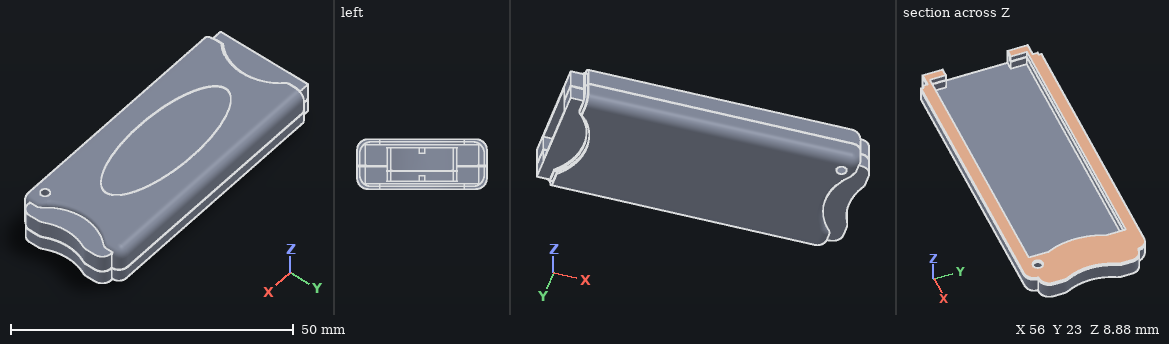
import cadquery as cq
import math


total_length = 56.0
body_width = 23.0
body_top = 4.8
body_bottom = -4.08

ring_start = 2.4
ring_length = 0.5
ring_inset = 0.5
body_start = ring_start + ring_length
body_end = 53.8
edge_radius = 2.0

core_inset = 1.0
core_top = body_top - core_inset
core_bottom = body_bottom + core_inset
neck_width = 20.1
tail_width = 19.0
tail_corner_radius = 2.0
tail_notch_radius = 10.34
tail_notch_depth = 1.3
tail_blend_radius = 2.0
core_joint = total_length / 2

scoop_radius = 10.34
front_scoop_apex = 5.6
rear_scoop_apex = 50.35
rear_scoop_x = rear_scoop_apex + scoop_radius
rear_rim_radius = core_inset

label_x = 27.3
label_length = 33.0
label_width = 12.0
label_depth = 0.2
lanyard_x = 50.7
lanyard_y = -8.35
lanyard_diameter = 1.8

ceiling_thickness = 0.5
floor_thickness = 0.4
cavity_top = core_top - ceiling_thickness
cavity_bottom = core_bottom + floor_thickness
opening_width = 12.3
jamb_depth = 1.6
cavity_width = 18.4
end_wall_thickness = 3.0
end_wall_radius = scoop_radius + end_wall_thickness
end_wall_half_width = 5.5
end_wall_flat_x = rear_scoop_x - math.sqrt(end_wall_radius**2 - end_wall_half_width**2)
nub_diameter = 1.0
nub_height = 1.0

seam_gap = 0.16
tongue_thickness = 0.6
tongue_depth = 0.85


def block(x_start, x_end, width, bottom, top):
    """Box centred on Y = 0."""
    return (
        cq.Workplane("XY")
        .box(x_end - x_start, width, top - bottom, centered=(False, True, False))
        .translate((x_start, 0, bottom))
    )


def disc(x, radius, bottom, top):
    """Vertical cylinder centred on Y = 0."""
    return cq.Workplane("XY").center(x, 0).circle(radius).extrude(top - bottom).translate((0, 0, bottom))


def front_scoop(apex):
    """Cutters above and below the core that reach back to the given apex."""
    upper = disc(apex - scoop_radius, scoop_radius, core_top, body_top)
    lower = disc(apex - scoop_radius, scoop_radius, body_bottom, core_bottom)
    return upper.union(lower)


def make_body():
    """Rounded main body with its stepped front ring and thumb scoops.

    The rear scoop passes right through here; the core fills its middle again.
    """
    main = block(body_start, body_end, body_width, body_bottom, body_top)
    main = main.edges("|X").fillet(edge_radius)
    main = main.faces(">X").edges().fillet(edge_radius)
    main = main.cut(disc(rear_scoop_x, scoop_radius, body_bottom, body_top))
    main = main.faces(">Z or <Z").edges("%CIRCLE").fillet(rear_rim_radius)
    main = main.cut(front_scoop(front_scoop_apex + ring_length))

    ring_top = body_top - ring_inset
    ring_bottom = body_bottom + ring_inset
    ring_width = body_width - 2 * ring_inset
    ring_end = front_scoop_apex + 2 * ring_length
    ring = block(ring_start, ring_end, ring_width, ring_bottom, ring_top)
    ring = ring.edges("|X").fillet(edge_radius)
    ring = ring.cut(front_scoop(front_scoop_apex))

    return main.union(ring)


def make_core():
    """Neck and tail, the tail with rounded corners and a blended notch in its end."""
    neck = block(0, core_joint, neck_width, core_bottom, core_top)
    tail = block(core_joint, total_length, tail_width, core_bottom, core_top)
    tail = tail.edges("|Z and >X").fillet(tail_corner_radius)
    notch_x = total_length - tail_notch_depth + tail_notch_radius
    tail = tail.cut(disc(notch_x, tail_notch_radius, core_bottom, core_top))
    tail = tail.edges("|Z and >X").fillet(tail_blend_radius)
    return neck.union(tail)


def make_cavity():
    """Connector opening and the wider space behind it, with an end wall that bulges forwards."""
    opening = block(0, jamb_depth, opening_width, cavity_bottom, cavity_top)
    space = block(jamb_depth, end_wall_flat_x, cavity_width, cavity_bottom, cavity_top)
    space = space.cut(disc(rear_scoop_x, end_wall_radius, cavity_bottom, cavity_top))
    nub_x = rear_scoop_x - end_wall_radius
    for bottom in (cavity_bottom, cavity_top - nub_height):
        space = space.cut(disc(nub_x, nub_diameter / 2, bottom, bottom + nub_height))
    return opening.union(space)


def make_housing():
    """Whole housing before it is split at the seam."""
    label = (
        cq.Workplane("XY", origin=(label_x, 0, body_top - label_depth))
        .ellipse(label_length / 2, label_width / 2)
        .extrude(label_depth)
    )
    lanyard_hole = (
        cq.Workplane("XY", origin=(lanyard_x, lanyard_y, body_bottom))
        .circle(lanyard_diameter / 2)
        .extrude(body_top - body_bottom)
    )
    housing = make_body().union(make_core())
    return housing.cut(make_cavity()).cut(label).cut(lanyard_hole)


def upper_region(drop):
    """Space above Z = -drop, together with the tongue that hangs below it around the cavity."""
    above = block(0, total_length, body_width, -drop, body_top)
    tongue_bottom = -tongue_depth - drop
    tongue = block(
        jamb_depth - tongue_thickness,
        end_wall_flat_x + tongue_thickness,
        cavity_width + 2 * tongue_thickness,
        tongue_bottom,
        -drop,
    )
    tongue = tongue.cut(disc(rear_scoop_x, end_wall_radius - tongue_thickness, tongue_bottom, -drop))
    return above.union(tongue)


housing = make_housing()
upper_shell = housing.intersect(upper_region(-seam_gap / 2))
lower_shell = housing.cut(upper_region(seam_gap / 2))

result = cq.Compound.makeCompound([upper_shell.val(), lower_shell.val()])